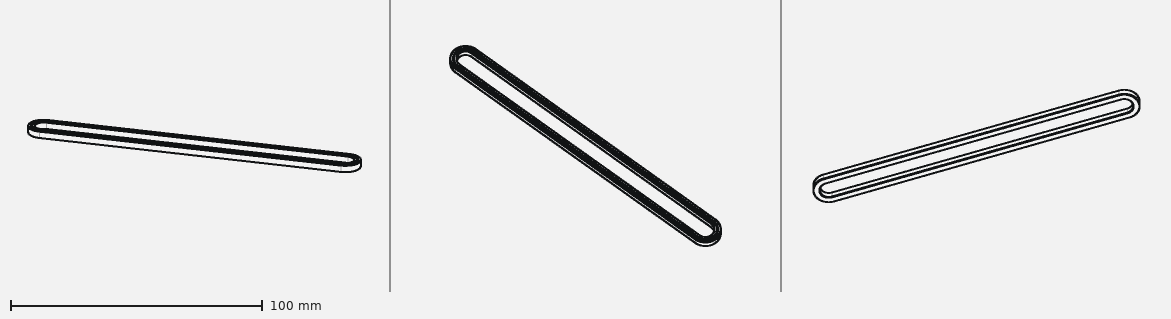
import cadquery as cq

length = 137.5
width = 12.5
height = 3.2

chamfer = 0.3
land_width = 0.8
groove_width = 0.51
groove_depth = 0.2
wall = groove_width + 2 * (land_width + chamfer)


def racetrack(inset, depth, base):
    """Round-ended block whose outline lies inset from the ring's outer outline."""
    outline = cq.Workplane("XY", origin=(0, 0, base))
    return outline.slot2D(length - 2 * inset, width - 2 * inset).extrude(depth)


def racetrack_band(inset, band_width, depth, base):
    """Closed band of constant width that follows the racetrack."""
    outside = racetrack(inset, depth, base)
    inside = racetrack(inset + band_width, depth, base)
    return outside.cut(inside)


ring = racetrack_band(0, wall, height, 0).faces("<Z or >Z").edges().chamfer(chamfer)

groove = racetrack_band(chamfer + land_width, groove_width, groove_depth, height - groove_depth)

result = ring.cut(groove)